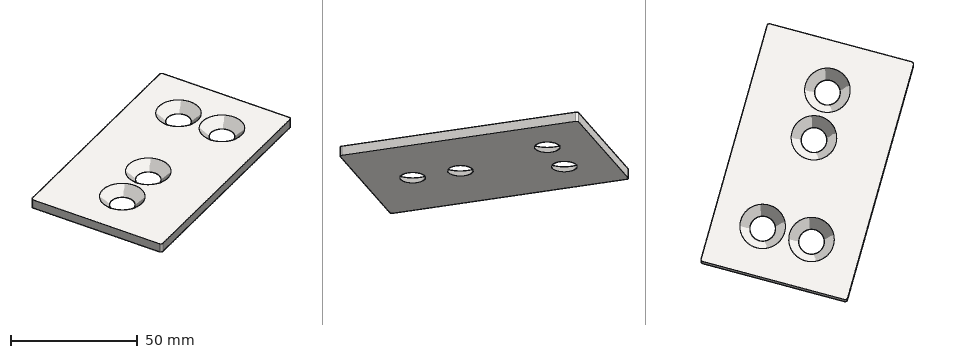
import cadquery as cq

width = 60
length = 100
thickness = 4
corner_radius = 1

hole_diameter = 10
sink_angle = 90
sink_diameter = hole_diameter + 2 * thickness
hole_pitch = 20

cross_pair_y = 30
long_pair_y = -20
hole_centers = [
    (-hole_pitch / 2, cross_pair_y),
    (hole_pitch / 2, cross_pair_y),
    (0, long_pair_y + hole_pitch / 2),
    (0, long_pair_y - hole_pitch / 2),
]

plate = (
    cq.Workplane("XY")
    .box(width, length, thickness)
    .edges("|Z")
    .fillet(corner_radius)
)

result = (
    plate.faces(">Z")
    .workplane(origin=(0, 0, 0))
    .pushPoints(hole_centers)
    .cskHole(hole_diameter, sink_diameter, sink_angle)
)